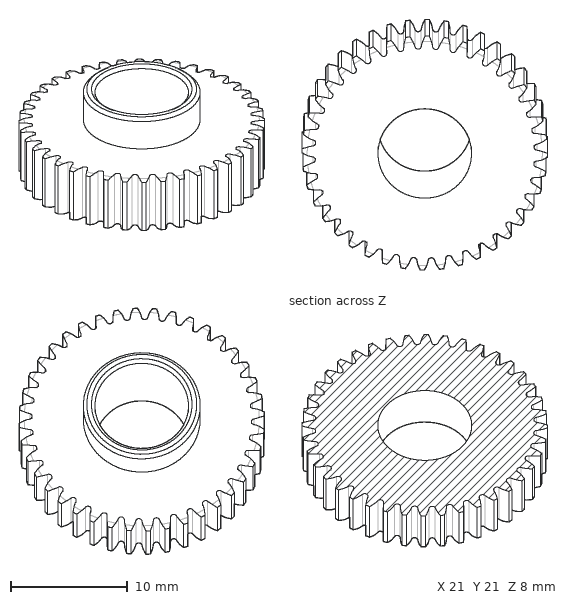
import cadquery as cq
import math

MODULE = 0.5
TOOTH_COUNT = 40
PRESSURE_ANGLE = math.radians(20)
DEDENDUM_FACTOR = 1.25
FACE_WIDTH = 5.0
TIP_BEVEL_DEPTH = 0.45
TIP_BEVEL_ANGLE = math.radians(15)
FLANK_STEPS = 6
GAP_ROUND_PASSES = 30

HUB_DIAMETER = 10.0
BORE_DIAMETER = 8.0
TOTAL_HEIGHT = 8.0
HUB_CHAMFER = 0.3

PITCH_RADIUS = MODULE * TOOTH_COUNT / 2
TIP_RADIUS = PITCH_RADIUS + MODULE
ROOT_RADIUS = PITCH_RADIUS - DEDENDUM_FACTOR * MODULE
BASE_RADIUS = PITCH_RADIUS * math.cos(PRESSURE_ANGLE)
TOOTH_PITCH_ANGLE = 2 * math.pi / TOOTH_COUNT
TIP_BEVEL_HEIGHT = TIP_BEVEL_DEPTH * math.tan(TIP_BEVEL_ANGLE)


def involute_angle(radius):
    """Polar angle swept by the involute between the base circle and a radius."""
    pressure = math.acos(BASE_RADIUS / radius)
    return math.tan(pressure) - pressure


BASE_HALF_ANGLE = TOOTH_PITCH_ANGLE / 4 + involute_angle(PITCH_RADIUS)


def flank_start_radius():
    """Radius where the round gap bottom runs tangentially into the involute flanks."""
    gap_half_angle = TOOTH_PITCH_ANGLE / 2 - BASE_HALF_ANGLE
    gap_round = gap_half_angle * BASE_RADIUS
    for _ in range(GAP_ROUND_PASSES):
        centre_radius = ROOT_RADIUS + gap_round
        gap_round = BASE_RADIUS * (gap_half_angle + involute_angle(centre_radius))
    normal_to_centre = math.sqrt(centre_radius**2 - BASE_RADIUS**2)
    return math.hypot(BASE_RADIUS, normal_to_centre - gap_round)


def polar(radius, angle):
    return (radius * math.cos(angle), radius * math.sin(angle))


def flank_points(tooth_angle, side, radii):
    """Points on one involute flank; side is -1 or +1 about the tooth's centre line."""
    return [
        polar(r, tooth_angle + side * (BASE_HALF_ANGLE - involute_angle(r)))
        for r in radii
    ]


def make_toothed_disc():
    start = flank_start_radius()
    step = (TIP_RADIUS - start) / FLANK_STEPS
    rising = [start + i * step for i in range(FLANK_STEPS)] + [TIP_RADIUS]
    falling = rising[::-1]

    first_point = flank_points(0, -1, rising)[0]
    outline = cq.Workplane("XY").moveTo(*first_point)
    for tooth in range(TOOTH_COUNT):
        angle = tooth * TOOTH_PITCH_ANGLE
        next_angle = angle + TOOTH_PITCH_ANGLE
        up_flank = flank_points(angle, -1, rising)
        down_flank = flank_points(angle, 1, falling)
        gap_bottom = polar(ROOT_RADIUS, angle + TOOTH_PITCH_ANGLE / 2)
        next_tooth = flank_points(next_angle, -1, rising)[0]
        outline = (
            outline.spline(up_flank[1:], includeCurrent=True)
            .threePointArc(polar(TIP_RADIUS, angle), down_flank[0])
            .spline(down_flank[1:], includeCurrent=True)
            .threePointArc(gap_bottom, next_tooth)
        )
    return outline.close().extrude(FACE_WIDTH)


def make_bevelled_blank():
    """Disc with shallow cones at both ends, which bevel the tooth tips."""
    shoulder_radius = TIP_RADIUS - TIP_BEVEL_DEPTH
    half_section = [
        (0, 0),
        (shoulder_radius, 0),
        (TIP_RADIUS, TIP_BEVEL_HEIGHT),
        (TIP_RADIUS, FACE_WIDTH - TIP_BEVEL_HEIGHT),
        (shoulder_radius, FACE_WIDTH),
        (0, FACE_WIDTH),
    ]
    return cq.Workplane("XZ").polyline(half_section).close().revolve()


def make_hub():
    return (
        cq.Workplane("XY")
        .circle(HUB_DIAMETER / 2)
        .extrude(TOTAL_HEIGHT)
        .faces(">Z")
        .chamfer(HUB_CHAMFER)
    )


def make_bore():
    """Through bore, opened by a chamfer at the hub end."""
    bore_radius = BORE_DIAMETER / 2
    half_section = [
        (0, 0),
        (bore_radius, 0),
        (bore_radius, TOTAL_HEIGHT - HUB_CHAMFER),
        (bore_radius + HUB_CHAMFER, TOTAL_HEIGHT),
        (0, TOTAL_HEIGHT),
    ]
    return cq.Workplane("XZ").polyline(half_section).close().revolve()


gear = make_toothed_disc().intersect(make_bevelled_blank())
result = gear.union(make_hub()).cut(make_bore())